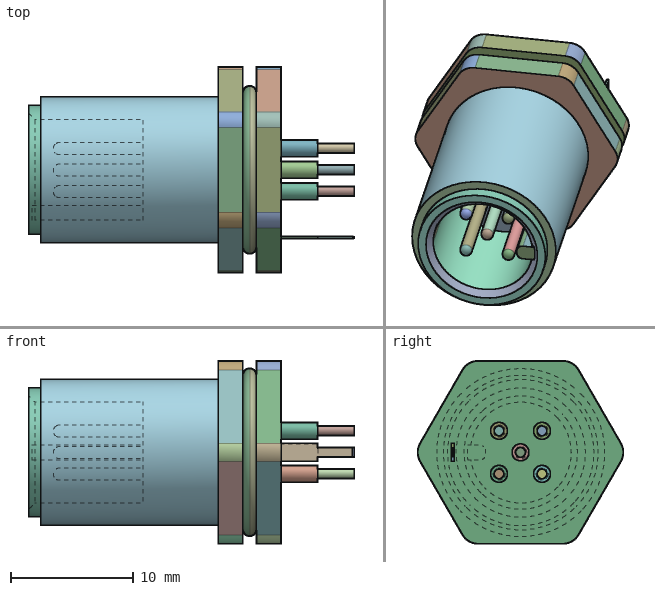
import cadquery as cq
import math

total_length = 26.7
nose_length = 1.0
flange_thickness = 2.03
ring_gap = 1.1
pin_tail_length = 6.0
pin_collar_length = 3.0
bore_depth = 9.35
bore_chamfer_length = 0.5
pin_tip_x = 2.0
key_front_x = 0.27

body_diameter = 12.0
nose_diameter = 10.6
bore_diameter = 8.28
bore_mouth_diameter = 9.3
hex_across_flats = 15.0
hex_corner_radius = 1.5
ring_outer_diameter = 13.78
contact_diameter = 1.0
collar_diameter = 1.4
tail_diameter = 0.8
contact_offset = 1.75
key_width = 1.23
key_inner_reach = 2.88
key_tip_radius = 0.48

tab_offset = 5.55
tab_thickness = 0.21
tab_root_width = 1.5
tab_tail_width = 0.75
tab_tip_chamfer = 0.2
tab_tip_inset = 0.067

rear_face_x = total_length - pin_tail_length
rear_flange_x = rear_face_x - flange_thickness
front_flange_x = rear_flange_x - ring_gap - flange_thickness
collar_end_x = rear_face_x + pin_collar_length
hex_across_corners = hex_across_flats / math.cos(math.radians(30))
ring_x = rear_flange_x - ring_gap / 2


def rod(start_x, end_x, diameter, y=0, z=0):
    """Round bar parallel to X."""
    return (
        cq.Workplane("YZ", origin=(start_x, y, z))
        .circle(diameter / 2)
        .extrude(end_x - start_x)
    )


def hex_flange(start_x):
    """Hexagonal flange with rounded corners pointing along +Y and -Y."""
    return (
        cq.Workplane("YZ", origin=(start_x, 0, 0))
        .polygon(6, hex_across_corners)
        .extrude(flange_thickness)
        .edges("|X")
        .fillet(hex_corner_radius)
    )


def sealing_ring():
    """O-ring between the two flanges, filled by the core that joins them."""
    section_radius = ring_gap / 2
    center_radius = ring_outer_diameter / 2 - section_radius
    torus = cq.Solid.makeTorus(
        center_radius,
        section_radius,
        cq.Vector(ring_x, 0, 0),
        cq.Vector(1, 0, 0),
    )
    core = rod(front_flange_x, rear_face_x, 2 * center_radius)
    return core.union(cq.Workplane(torus))


def socket_bore():
    """Blind bore in the mating end with a conical mouth."""
    bore_radius = bore_diameter / 2
    return (
        cq.Workplane("XY")
        .moveTo(0, 0)
        .lineTo(0, bore_mouth_diameter / 2)
        .lineTo(bore_chamfer_length, bore_radius)
        .lineTo(bore_depth, bore_radius)
        .lineTo(bore_depth, 0)
        .close()
        .revolve(360, (0, 0, 0), (1, 0, 0))
    )


def coding_key():
    """Rib with a rounded inner edge along the -Y side of the bore."""
    bore_radius = bore_diameter / 2
    wall = (nose_diameter - bore_diameter) / 2
    outer_reach = bore_radius + wall / 2
    rib = (
        cq.Workplane("XY", origin=(key_front_x, -outer_reach, 0))
        .box(
            bore_depth - key_front_x,
            outer_reach - key_inner_reach,
            key_width,
            centered=(False, False, True),
        )
    )
    return rib.edges("|X and >Y").fillet(key_tip_radius)


def contact_pin(y, z):
    """Contact with a hemispherical tip, a rear collar and a thin solder tail."""
    tip_radius = contact_diameter / 2
    tip = cq.Workplane("XY", origin=(pin_tip_x + tip_radius, y, z)).sphere(tip_radius)
    front = rod(pin_tip_x + tip_radius, bore_depth, contact_diameter, y, z).union(tip)
    collar = rod(bore_depth, collar_end_x, collar_diameter, y, z)
    tail = rod(collar_end_x, total_length, tail_diameter, y, z)
    return front.union(collar).union(tail)


def ground_tab():
    """Flat stepped tab with a tip chamfered on both broad faces."""
    root = cq.Workplane("XY", origin=(rear_flange_x, -tab_offset, 0)).box(
        collar_end_x - rear_flange_x,
        tab_thickness,
        tab_root_width,
        centered=(False, True, True),
    )
    half_thickness = tab_thickness / 2
    half_tip = half_thickness - tab_tip_inset
    tip_start_x = total_length - tab_tip_chamfer
    tail = (
        cq.Workplane("XY", origin=(0, -tab_offset, 0))
        .moveTo(collar_end_x, -half_thickness)
        .lineTo(tip_start_x, -half_thickness)
        .lineTo(total_length, -half_tip)
        .lineTo(total_length, half_tip)
        .lineTo(tip_start_x, half_thickness)
        .lineTo(collar_end_x, half_thickness)
        .close()
        .extrude(tab_tail_width / 2, both=True)
    )
    return root.union(tail)


shell = rod(0, nose_length, nose_diameter).union(rod(nose_length, rear_face_x, body_diameter))
shell = shell.union(hex_flange(front_flange_x)).union(hex_flange(rear_flange_x))
shell = shell.union(sealing_ring()).cut(socket_bore()).union(coding_key())

contact_places = [(0, 0)]
for y_side in (-1, 1):
    for z_side in (-1, 1):
        contact_places.append((y_side * contact_offset, z_side * contact_offset))

result = shell
for y, z in contact_places:
    result = result.union(contact_pin(y, z))
result = result.union(ground_tab())